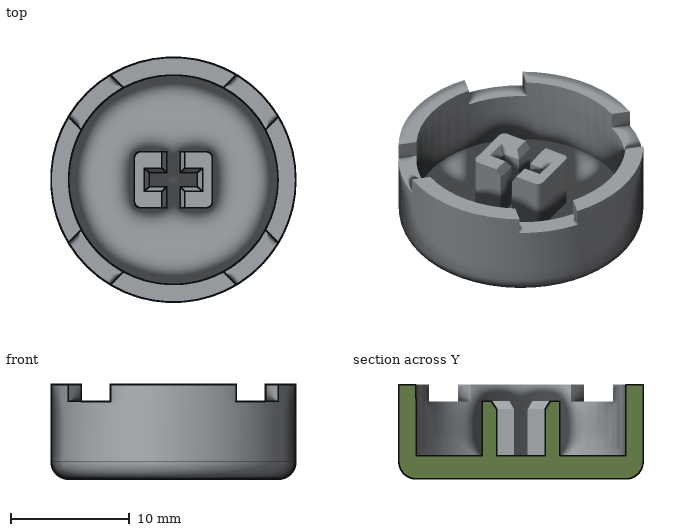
import cadquery as cq

OUTER_DIAMETER = 20.64
HEIGHT = 8.0
WALL = 1.5
FLOOR_THICKNESS = 2.0
BOTTOM_FILLET = 1.5
INNER_DIAMETER = OUTER_DIAMETER - 2 * WALL

NOTCH_WIDTH = 5.0
NOTCH_DEPTH = 1.45
NOTCH_ANGLES = (45, 135)

STEM_LENGTH = 6.57
STEM_WIDTH = 4.7
STEM_TOP = 6.6
STEM_CORNER_RADIUS = 0.5

ARM_LENGTH = 4.03
ARM_WIDTH = 1.17
SLOT_WIDTH = 1.15
LEAD_IN_DEPTH = 0.7
LEAD_IN_SIDE = 0.4
LEAD_IN_END = 0.46


def make_cup():
    """Round cup with a rounded bottom edge."""
    body = cq.Workplane("XY").circle(OUTER_DIAMETER / 2).extrude(HEIGHT)
    body = body.faces("<Z").edges().fillet(BOTTOM_FILLET)
    cavity = (
        cq.Workplane("XY")
        .workplane(offset=FLOOR_THICKNESS)
        .circle(INNER_DIAMETER / 2)
        .extrude(HEIGHT - FLOOR_THICKNESS)
    )
    return body.cut(cavity)


def cut_rim_notches(cup):
    """Cut parallel-sided notches straight across the rim, two per diagonal."""
    bar = (
        cq.Workplane("XY")
        .workplane(offset=HEIGHT - NOTCH_DEPTH)
        .rect(2 * OUTER_DIAMETER, NOTCH_WIDTH)
        .extrude(NOTCH_DEPTH)
    )
    for angle in NOTCH_ANGLES:
        cup = cup.cut(bar.rotate((0, 0, 0), (0, 0, 1), angle))
    return cup


def make_opening(length, width, grow_x, grow_y):
    """Rectangular opening down to the floor that widens over the lead-in at the top of the stem."""
    lead_in_bottom = STEM_TOP - LEAD_IN_DEPTH
    straight = (
        cq.Workplane("XY")
        .workplane(offset=FLOOR_THICKNESS)
        .rect(length, width)
        .extrude(lead_in_bottom - FLOOR_THICKNESS)
    )
    lead_in = (
        cq.Workplane("XY")
        .workplane(offset=lead_in_bottom)
        .rect(length, width)
        .workplane(offset=LEAD_IN_DEPTH)
        .rect(length + 2 * grow_x, width + 2 * grow_y)
        .loft(ruled=True)
    )
    return straight.union(lead_in)


def make_stem():
    """Rounded block split in two by the slot, with the cross arm inside."""
    block = (
        cq.Workplane("XY")
        .rect(STEM_LENGTH, STEM_WIDTH)
        .extrude(STEM_TOP)
        .edges("|Z")
        .fillet(STEM_CORNER_RADIUS)
    )
    arm = make_opening(ARM_LENGTH, ARM_WIDTH, LEAD_IN_END, LEAD_IN_SIDE)
    slot = make_opening(SLOT_WIDTH, 2 * STEM_WIDTH, LEAD_IN_SIDE, 0)
    return block.cut(arm).cut(slot)


result = cut_rim_notches(make_cup()).union(make_stem())